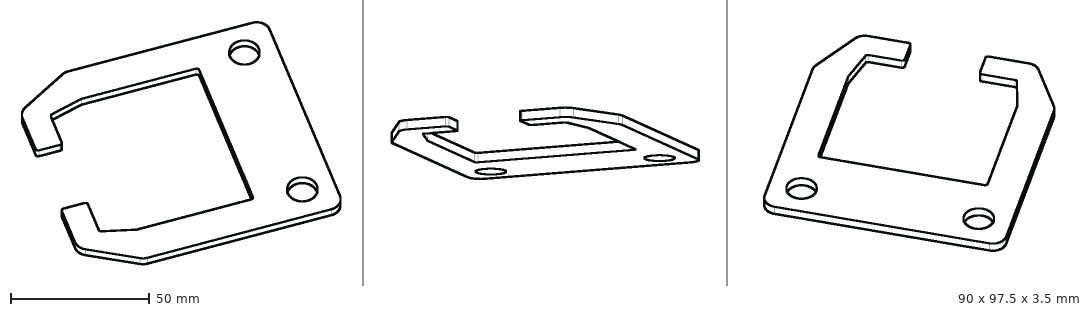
import cadquery as cq
import math

width = 90.0
height = 97.5
thickness = 3.5
corner_radius = 5.0
small_radius = 1.0

flank_height = 21.2
flank_angle = 30.0

window_width = 63.0
top_bar_depth = 30.0
taper_start = 22.9
taper_angle = 15.0
lip_height = 9.9
mouth_width = 28.0

hole_diameter = 11.0
hole_spacing = 66.0
hole_inset = 12.0


def slope_run(rise, angle):
    """Horizontal distance covered by an edge tilted from vertical."""
    return rise * math.tan(math.radians(angle))


half_width = width / 2
half_window = window_width / 2
half_mouth = mouth_width / 2
window_top = height - top_bar_depth
foot_x = half_width - slope_run(flank_height, flank_angle)
lip_root_x = half_window - slope_run(taper_start - lip_height, taper_angle)

outer_corners = [(half_width, height), (half_width, flank_height), (foot_x, 0)]
lip_tip_corners = [(half_mouth, 0), (half_mouth, lip_height)]
lip_root_corner = (lip_root_x, lip_height)
taper_corner = (half_window, taper_start)
window_corner = (half_window, window_top)

right_half = outer_corners + lip_tip_corners + [lip_root_corner, taper_corner, window_corner]
left_half = [(-x, y) for x, y in reversed(right_half)]


def round_corners(body, corners, radius):
    """Fillet the vertical edges at the given corners and their mirror images."""
    for x, y in corners:
        for side in (1, -1):
            corner = cq.selectors.NearestToPointSelector((side * x, y, thickness / 2))
            body = body.edges("|Z").edges(corner).fillet(radius)
    return body


plate = cq.Workplane("XY").polyline(right_half + left_half).close().extrude(thickness)
plate = round_corners(plate, outer_corners, corner_radius)
plate = round_corners(plate, lip_tip_corners + [lip_root_corner, window_corner], small_radius)

hole_y = height - hole_inset
holes = (
    cq.Workplane("XY")
    .pushPoints([(-hole_spacing / 2, hole_y), (hole_spacing / 2, hole_y)])
    .circle(hole_diameter / 2)
    .extrude(thickness)
)

result = plate.cut(holes)